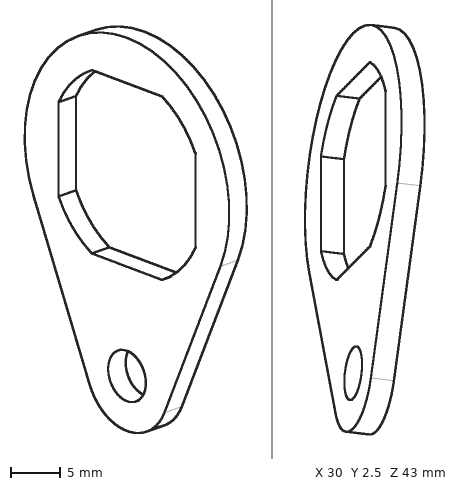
import cadquery as cq
import math

total_height = 42.95
thickness = 2.5
head_radius = 15.0
tail_radius = 6.0
tail_drop = total_height - head_radius - tail_radius

window_width = 20.0
window_corner_diameter = 22.5
tail_hole_diameter = 5.5


def extrude_centred(sketch):
    """Extrude an XZ sketch by the plate thickness, centred on Y = 0."""
    return sketch.extrude(thickness / 2, both=True)


def plate_blank():
    """Two arcs joined by straight sides tangent to both of them."""
    sine = (head_radius - tail_radius) / tail_drop
    cosine = math.sqrt(1 - sine**2)
    head_x = head_radius * cosine
    head_z = -head_radius * sine
    tail_x = tail_radius * cosine
    tail_z = -tail_drop - tail_radius * sine
    return extrude_centred(
        cq.Workplane("XZ")
        .moveTo(-head_x, head_z)
        .threePointArc((0, head_radius), (head_x, head_z))
        .lineTo(tail_x, tail_z)
        .threePointArc((0, -tail_drop - tail_radius), (-tail_x, tail_z))
        .close()
    )


def window():
    """Square opening whose corners are rounded off by a concentric circle."""
    square = extrude_centred(cq.Workplane("XZ").rect(window_width, window_width))
    disc = extrude_centred(cq.Workplane("XZ").circle(window_corner_diameter / 2))
    return square.intersect(disc)


def tail_hole():
    """Round through hole concentric with the tail arc."""
    return extrude_centred(
        cq.Workplane("XZ").center(0, -tail_drop).circle(tail_hole_diameter / 2)
    )


result = plate_blank().cut(window()).cut(tail_hole())